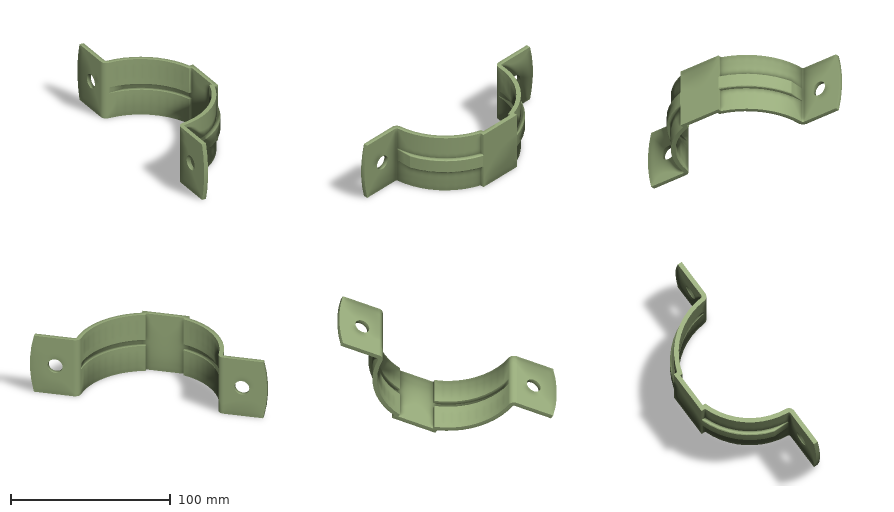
import cadquery as cq
import math

length = 152.4
height = 47.4
width = 40.0
thickness = 2.9

outer_radius = 47.3
inner_radius = outer_radius - thickness
crown_outer_half = 15.1
crown_inner_half = 12.2

bend_inner_radius = 1.0
bend_outer_radius = bend_inner_radius + thickness

bead_offset = 2.6
bead_width = 9.5
bead_edge_radius = 0.6
groove_width = 4.3
bead_flat_half = 47.5
groove_flat_half = bead_flat_half - thickness

end_sagitta = 2.6
hole_diameter = 9.6
hole_spacing = 120.0


def circle_height(radius, x):
    """Y of a circle about the clamp axis at the given X."""
    return math.sqrt(radius ** 2 - x ** 2)


def box(x_half, y_low, y_high, z_size):
    """Box centred on X = 0 and Z = 0 between two Y levels."""
    block = cq.Workplane("XY").box(2 * x_half, y_high - y_low, z_size)
    return block.translate((0, (y_low + y_high) / 2, 0))


def half_disc(radius, x_half, y_low, y_high, z_size):
    """Disc about the clamp axis, trimmed to flat sides, bottom and crown."""
    disc = cq.Workplane("XY").circle(radius).extrude(z_size / 2, both=True)
    disc = disc.rotate((0, 0, 0), (0, 0, 1), -90)
    return disc.intersect(box(x_half, y_low, y_high, z_size))


def make_strip():
    """Flanges and plain half-round band joined by a flat, raised crown."""
    flanges = box(length / 2, 0, thickness, width)
    band = half_disc(outer_radius, length / 2, 0, height, width)
    crown = box(crown_outer_half, circle_height(inner_radius, crown_outer_half), height, width)
    strip = flanges.union(band).union(crown)
    bore = half_disc(inner_radius, length / 2, -thickness, circle_height(inner_radius, crown_inner_half), width)
    crown_recess = box(crown_inner_half, 0, height - thickness, width)
    return strip.cut(bore).cut(crown_recess)


def round_bends(strip):
    """Round both sides of the bends where the band meets the flanges."""
    inside_x = circle_height(outer_radius, thickness)
    for x, y, radius in ((inner_radius, 0, bend_outer_radius), (inside_x, thickness, bend_inner_radius)):
        for side in (-1, 1):
            corner = cq.selectors.NearestToPointSelector((side * x, y, 0))
            strip = strip.edges("|Z").edges(corner).fillet(radius)
    return strip


def add_bead(strip):
    """Raise the bead on the outside and sink its groove on the inside."""
    bead_bottom = thickness + bend_inner_radius
    bead = half_disc(outer_radius + bead_offset, bead_flat_half, bead_bottom, height, bead_width)
    bead = bead.faces("|Z").edges("not <Y").edges("not >Y").fillet(bead_edge_radius)
    bore = cq.Workplane("XY").circle((inner_radius + outer_radius) / 2).extrude(width, both=True)
    groove = half_disc(
        inner_radius + bead_offset, groove_flat_half, bend_outer_radius, height - thickness, groove_width
    )
    crown_clearance = box(crown_outer_half, 0, height, bead_width)
    return strip.union(bead.cut(bore).cut(crown_clearance)).cut(groove)


def make_flange_outline():
    """Plan outline with bowed flange ends."""
    end_x = length / 2 - end_sagitta
    return (
        cq.Workplane("XZ")
        .moveTo(-end_x, -width / 2)
        .lineTo(end_x, -width / 2)
        .threePointArc((length / 2, 0), (end_x, width / 2))
        .lineTo(-end_x, width / 2)
        .threePointArc((-length / 2, 0), (-end_x, -width / 2))
        .close()
        .extrude(-height)
    )


holes = (
    cq.Workplane("XZ")
    .pushPoints([(-hole_spacing / 2, 0), (hole_spacing / 2, 0)])
    .circle(hole_diameter / 2)
    .extrude(-thickness)
)

result = add_bead(round_bends(make_strip())).intersect(make_flange_outline()).cut(holes)